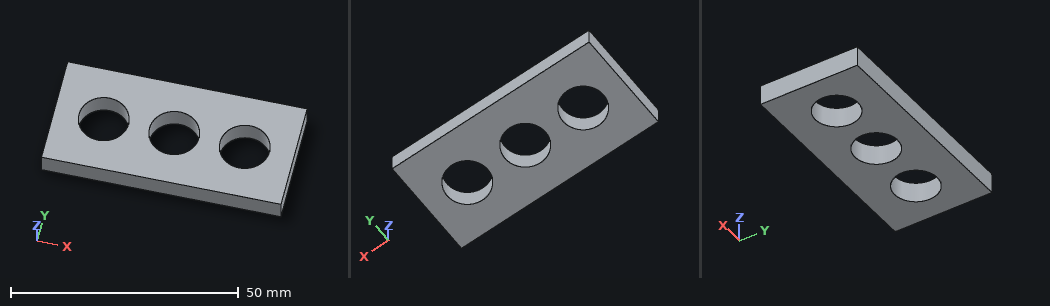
import cadquery as cq

length = 54.0
width = 25.4
thickness = 5.25

hole_diameter = 11.1
hole_spacing = 15.85
hole_count = 3

plate = cq.Workplane("XY").box(length, width, thickness)

result = (
    plate.faces(">Z")
    .workplane()
    .rarray(hole_spacing, width, hole_count, 1)
    .hole(hole_diameter)
)